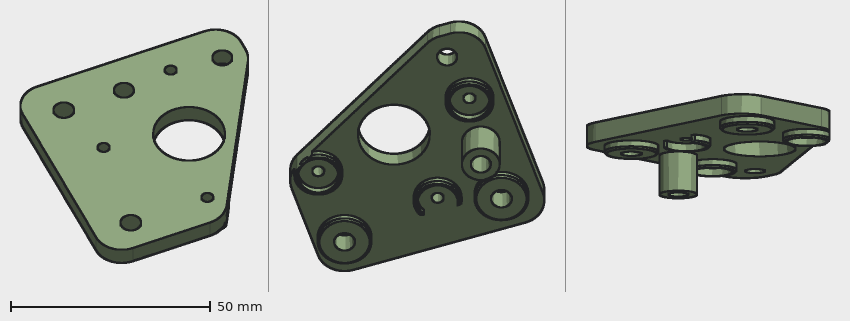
import cadquery as cq
import math

PLATE_WIDTH = 59.45
PLATE_DEPTH = 59.95
PLATE_THICKNESS = 5.0
CORNER_RADIUS = 7.0
SLOPE_ANGLE = 30.2
SLOPE_CLEARANCE = 12.0

BORE_DIAMETER = 18.0
BORE_X = 30.0
BORE_Y = 35.45

SCREW_SQUARE_SIDE = 31.0
SCREW_CIRCLE_RADIUS = SCREW_SQUARE_SIDE / math.sqrt(2)
SCREW_TURN = 11.8
SCREW_ANGLES = [180.0 - SCREW_TURN, 270.0 - SCREW_TURN, 360.0 - SCREW_TURN]
TRIMMED_SCREW = 1
SCREW_DIAMETER = 3.0

RING_OUTER_DIAMETER = 12.1
RING_INNER_DIAMETER = 10.1
RING_TRIM_OFFSET = 2.45

PAD_DIAMETER = 13.6
PAD_HOLE_DIAMETER = 5.2
RAISED_HEIGHT = 2.0
RAISED_CHAMFER = 0.5

COLUMN_X = BORE_X - 20.0
COLUMN_HOLE_DIAMETER = 5.0
UPPER_HOLE_Y = BORE_Y + 18.0
PIN_Y = BORE_Y - 9.0
PIN_DIAMETER = 9.5
PIN_LENGTH = 10.0
PAD_Y = BORE_Y - 25.5


def screw_center(angle):
    """Centre of the screw hole at the given angle around the bore."""
    turn = math.radians(angle)
    return (BORE_X + SCREW_CIRCLE_RADIUS * math.cos(turn),
            BORE_Y + SCREW_CIRCLE_RADIUS * math.sin(turn))


SCREW_CENTERS = [screw_center(angle) for angle in SCREW_ANGLES]
PAD_CENTERS = [(COLUMN_X, PAD_Y), (SCREW_CENTERS[-1][0], PAD_Y)]
COLUMN_CENTERS = [(COLUMN_X, UPPER_HOLE_Y), (COLUMN_X, PIN_Y)]


def outline_slab(height):
    """Rectangle with one corner cut by the sloping edge, all corners rounded."""
    slope = math.tan(math.radians(SLOPE_ANGLE))
    height_over_bore = BORE_Y + SLOPE_CLEARANCE / math.cos(math.radians(SLOPE_ANGLE))
    slope_top_x = BORE_X - (PLATE_DEPTH - height_over_bore) / slope
    slope_end_y = height_over_bore - (PLATE_WIDTH - BORE_X) * slope
    outline = [
        (0, 0),
        (PLATE_WIDTH, 0),
        (PLATE_WIDTH, slope_end_y),
        (slope_top_x, PLATE_DEPTH),
        (0, PLATE_DEPTH),
    ]
    slab = cq.Workplane("XY").polyline(outline).close().extrude(height)
    return slab.edges("|Z").fillet(CORNER_RADIUS)


def hanging_disc(center, diameter, height):
    """Cylinder hanging down from the underside of the plate."""
    return cq.Workplane("XY").center(*center).circle(diameter / 2).extrude(-height)


def make_pad(center):
    """Raised pad with a chamfered lower rim."""
    pad = hanging_disc(center, PAD_DIAMETER, RAISED_HEIGHT)
    return pad.faces("<Z").chamfer(RAISED_CHAMFER)


def make_ring(center):
    """Raised ring with a chamfered outer lower rim, kept within the plate outline."""
    disc = hanging_disc(center, RING_OUTER_DIAMETER, RAISED_HEIGHT)
    disc = disc.faces("<Z").chamfer(RAISED_CHAMFER)
    ring = disc.cut(hanging_disc(center, RING_INNER_DIAMETER, RAISED_HEIGHT))
    return ring.intersect(outline_slab(-RAISED_HEIGHT))


def trim_ring(ring, center):
    """Cut the -Y side of a ring away along a flat."""
    x, y = center
    size = RING_OUTER_DIAMETER
    waste = cq.Workplane("XY").center(x, y - RING_TRIM_OFFSET - size / 2)
    return ring.cut(waste.rect(size, size).extrude(-RAISED_HEIGHT))


def drill(body, centers, diameter):
    """Drill holes through the plate and everything below it."""
    drills = cq.Workplane("XY", origin=(0, 0, -PIN_LENGTH)).pushPoints(centers)
    return body.cut(drills.circle(diameter / 2).extrude(PIN_LENGTH + PLATE_THICKNESS))


result = outline_slab(PLATE_THICKNESS)
for pad_center in PAD_CENTERS:
    result = result.union(make_pad(pad_center))
for index, ring_center in enumerate(SCREW_CENTERS):
    screw_ring = make_ring(ring_center)
    if index == TRIMMED_SCREW:
        screw_ring = trim_ring(screw_ring, ring_center)
    result = result.union(screw_ring)
result = result.union(hanging_disc((COLUMN_X, PIN_Y), PIN_DIAMETER, PIN_LENGTH))

result = drill(result, [(BORE_X, BORE_Y)], BORE_DIAMETER)
result = drill(result, SCREW_CENTERS, SCREW_DIAMETER)
result = drill(result, PAD_CENTERS, PAD_HOLE_DIAMETER)
result = drill(result, COLUMN_CENTERS, COLUMN_HOLE_DIAMETER)